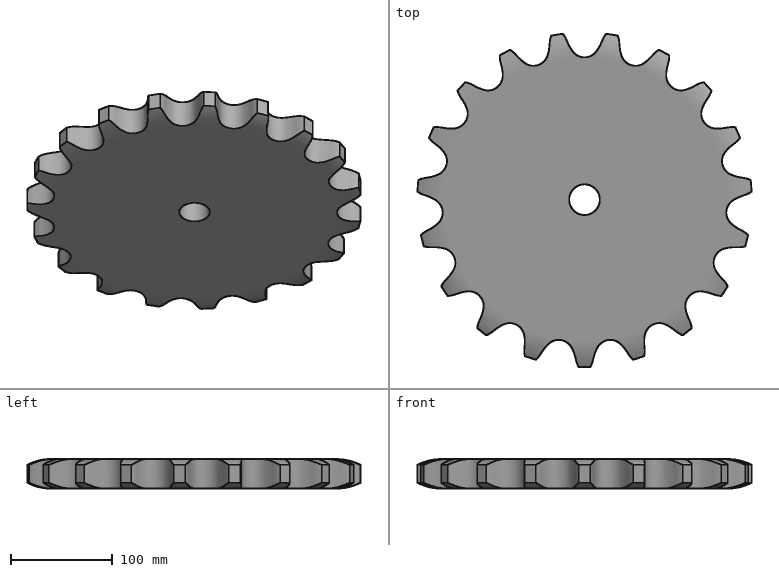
import cadquery as cq
import math

overall_width = 328.7
tooth_count = 19
pitch_diameter = 308.5
roller_diameter = 28.5
thickness = 29.3
bore_diameter = 30.0
face_diameter = 281.5
rim_clearance = 3.3

half_pitch_angle = math.pi / tooth_count
pitch_radius = pitch_diameter / 2
chain_pitch = pitch_diameter * math.sin(half_pitch_angle)
side_round_radius = chain_pitch

seat_radius = 0.5025 * roller_diameter
working_center_distance = 0.8 * roller_diameter
working_radius = seat_radius + working_center_distance
crest_center_distance = 1.4 * roller_diameter
seat_angle = math.radians(35 + 60 / tooth_count)
working_angle = math.radians(18 - 56 / tooth_count)
flank_angle = seat_angle - working_angle


def offset(point, distance, angle):
    """Point at a distance and direction from another point."""
    return (point[0] + distance * math.cos(angle), point[1] + distance * math.sin(angle))


def mirror(point):
    """Reflect a point across the gap centreline, the Y axis."""
    return (-point[0], point[1])


def turn(point, angle):
    """Rotate a point about the origin."""
    return offset((0, 0), math.hypot(*point), math.atan2(point[1], point[0]) + angle)


seat_center = (0, pitch_radius)
working_center = offset(seat_center, working_center_distance, math.pi - seat_angle)
crest_center = offset(seat_center, crest_center_distance, -half_pitch_angle)

root = offset(seat_center, seat_radius, -math.pi / 2)
seat_end = offset(seat_center, seat_radius, -seat_angle)
working_mid = offset(working_center, working_radius, working_angle / 2 - seat_angle)
working_end = offset(working_center, working_radius, -flank_angle)

flank_normal = (math.cos(flank_angle), -math.sin(flank_angle))
crest_radius = (
    (crest_center[0] - working_end[0]) * flank_normal[0]
    + (crest_center[1] - working_end[1]) * flank_normal[1]
)
crest_start_angle = math.pi - flank_angle
crest_start = offset(crest_center, crest_radius, crest_start_angle)

gaps_to_x_axis = round(tooth_count / 4)
x_axis_turn = -2 * half_pitch_angle * gaps_to_x_axis
side_center = turn(mirror(crest_center), x_axis_turn)
side_reach = overall_width / 2 - side_center[0]
side_corner = (
    overall_width / 2,
    side_center[1] - math.sqrt(crest_radius**2 - side_reach**2),
)
tip_radius = math.hypot(*side_corner)
crest_end = mirror(turn(side_corner, -x_axis_turn))

crest_end_angle = math.atan2(crest_end[1] - crest_center[1], crest_end[0] - crest_center[0])
crest_mid = offset(crest_center, crest_radius, (crest_start_angle + crest_end_angle) / 2)


def draw_gap_and_tip(outline, gap_angle):
    """Add one tooth gap, clockwise from its left crest to its right, and the tooth tip after it."""

    def left(point):
        return turn(mirror(point), gap_angle)

    def right(point):
        return turn(point, gap_angle)

    tip_mid = turn((0, tip_radius), gap_angle - half_pitch_angle)
    next_gap_start = turn(mirror(crest_end), gap_angle - 2 * half_pitch_angle)
    return (
        outline.threePointArc(left(crest_mid), left(crest_start))
        .lineTo(*left(working_end))
        .threePointArc(left(working_mid), left(seat_end))
        .threePointArc(right(root), right(seat_end))
        .threePointArc(right(working_mid), right(working_end))
        .lineTo(*right(crest_start))
        .threePointArc(right(crest_mid), right(crest_end))
        .threePointArc(tip_mid, next_gap_start)
    )


def toothed_plate():
    """Plate with the full tooth outline, every tooth square-sided."""
    outline = cq.Workplane("XY").workplane(offset=-thickness / 2).moveTo(*mirror(crest_end))
    for gap in range(tooth_count):
        outline = draw_gap_and_tip(outline, -2 * half_pitch_angle * gap)
    return outline.close().extrude(thickness)


def rounded_disc():
    """Solid of revolution whose rim narrows along arcs tangent to both flat faces."""
    face_radius = face_diameter / 2
    rim_radius = overall_width / 2 + rim_clearance
    half_thickness = thickness / 2
    arc_center = (face_radius, half_thickness - side_round_radius)
    rim_angle = math.acos((rim_radius - face_radius) / side_round_radius)
    arc_mid = offset(arc_center, side_round_radius, (math.pi / 2 + rim_angle) / 2)
    arc_end = offset(arc_center, side_round_radius, rim_angle)
    return (
        cq.Workplane("XZ")
        .moveTo(0, half_thickness)
        .lineTo(face_radius, half_thickness)
        .threePointArc(arc_mid, arc_end)
        .lineTo(arc_end[0], -arc_end[1])
        .threePointArc((arc_mid[0], -arc_mid[1]), (face_radius, -half_thickness))
        .lineTo(0, -half_thickness)
        .close()
        .revolve(360, (0, 0, 0), (0, 1, 0))
    )


bore = cq.Workplane("XY").circle(bore_diameter / 2).extrude(thickness, both=True)

result = toothed_plate().intersect(rounded_disc()).cut(bore)